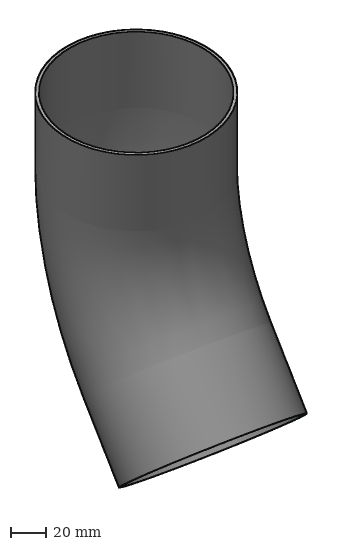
import cadquery as cq
import math

outer_diameter = 114.3
wall = 2.2
bend_radius = 152.5
bend_angle = 45.0
collar_length = 55.0

outer_radius = outer_diameter / 2
inner_radius = outer_radius - wall


def bend_point(angle):
    """Point on the bend centreline, turned by angle degrees from its top end."""
    turn = math.radians(angle)
    return bend_radius * (1 - math.cos(turn)), -bend_radius * math.sin(turn)


bend_end_x, bend_end_z = bend_point(bend_angle)
outlet_x = bend_end_x + collar_length * math.sin(math.radians(bend_angle))
outlet_z = bend_end_z - collar_length * math.cos(math.radians(bend_angle))
centreline = (
    cq.Workplane("XZ")
    .moveTo(0, collar_length)
    .lineTo(0, 0)
    .threePointArc(bend_point(bend_angle / 2), (bend_end_x, bend_end_z))
    .lineTo(outlet_x, outlet_z)
)

result = (
    cq.Workplane("XY", origin=(0, 0, collar_length))
    .circle(outer_radius)
    .circle(inner_radius)
    .sweep(centreline)
)